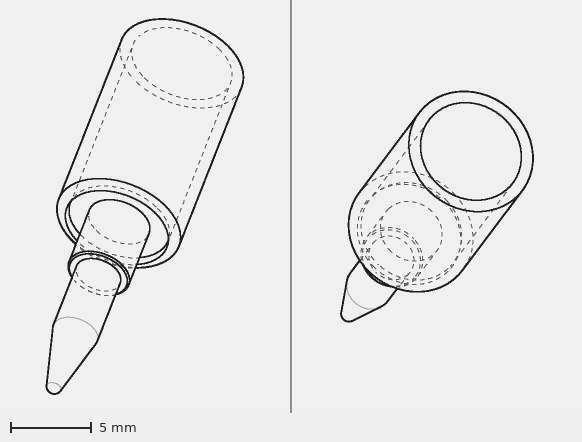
import cadquery as cq
import math

LENGTH = 28.0
BACK = LENGTH / 2
TIP = BACK - LENGTH

SLEEVE_LENGTH = 14.0
SLEEVE_RADIUS = 4.0
RIM_LENGTH = 0.4
BORE_RADIUS = 3.25
MOUTH_RADIUS = 3.33
RECESS_DEPTH = 0.5

COLLAR_RADIUS = 2.0
COLLAR_LENGTH = 4.0
COLLAR_CHAMFER = 0.1
SHANK_RADIUS = 1.45
POINT_LENGTH = 5.0
NOSE_RADIUS = 0.48
NOSE_LENGTH = 0.35

SLEEVE_FRONT = BACK - SLEEVE_LENGTH
RIM_START = SLEEVE_FRONT + RIM_LENGTH
PLUG_FRONT = SLEEVE_FRONT + RECESS_DEPTH
COLLAR_FRONT = SLEEVE_FRONT - COLLAR_LENGTH
CONE_START = TIP + POINT_LENGTH
NOSE_START = TIP + NOSE_LENGTH


def turn(profile):
    """Revolve a closed profile in the XY plane about the Y axis."""
    return profile.close().revolve(360, (0, 0, 0), (0, 1, 0))


def arc_middle(start_radius, end_radius, height, front):
    """Middle of an arc that ends square to Y at the given front position."""
    run = start_radius - end_radius
    arc_radius = (run**2 + height**2) / (2 * height)
    half_angle = math.asin(run / arc_radius) / 2
    radius = end_radius + arc_radius * math.sin(half_angle)
    return radius, front + arc_radius * (1 - math.cos(half_angle))


def make_sleeve():
    """Tube whose rounded rim runs into the flared mouth of the bore."""
    rim_middle = arc_middle(SLEEVE_RADIUS, MOUTH_RADIUS, RIM_LENGTH, SLEEVE_FRONT)
    profile = (
        cq.Workplane("XY")
        .moveTo(BORE_RADIUS, BACK)
        .lineTo(SLEEVE_RADIUS, BACK)
        .lineTo(SLEEVE_RADIUS, RIM_START)
        .threePointArc(rim_middle, (MOUTH_RADIUS, SLEEVE_FRONT))
        .lineTo(BORE_RADIUS, PLUG_FRONT)
    )
    return turn(profile)


def make_core():
    """Plug that fills the bore, with its collar, shank and round-nosed cone."""
    nose_middle = arc_middle(NOSE_RADIUS, 0, NOSE_LENGTH, TIP)
    profile = (
        cq.Workplane("XY")
        .moveTo(0, BACK)
        .lineTo(BORE_RADIUS, BACK)
        .lineTo(BORE_RADIUS, PLUG_FRONT)
        .lineTo(COLLAR_RADIUS, PLUG_FRONT)
        .lineTo(COLLAR_RADIUS, COLLAR_FRONT + COLLAR_CHAMFER)
        .lineTo(COLLAR_RADIUS - COLLAR_CHAMFER, COLLAR_FRONT)
        .lineTo(SHANK_RADIUS, COLLAR_FRONT)
        .lineTo(SHANK_RADIUS, CONE_START)
        .lineTo(NOSE_RADIUS, NOSE_START)
        .threePointArc(nose_middle, (0, TIP))
    )
    return turn(profile)


sleeve = make_sleeve()
core = make_core()
result = cq.Compound.makeCompound([sleeve.val(), core.val()])